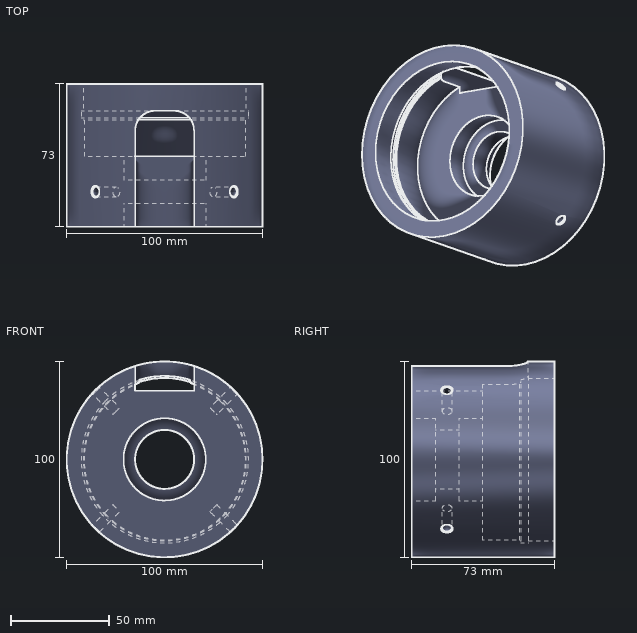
import cadquery as cq

outer_diameter = 100.0
length = 73.0
web_thickness = 36.0
cavity_diameter = 82.2

seat_diameter = 83.0
seat_start = 54.8

groove_diameter = 85.2
groove_start = 55.8
groove_width = 3.6

bore_diameter = 30.0
counterbore_diameter = 42.0
counterbore_depth = 12.0

window_width = 30.0
window_length = 59.2
window_floor = 35.1
window_corner_radius = 10.0

screw_hole_diameter = 5.0
screw_hole_mouth_diameter = 6.0
screw_hole_depth = 15.0
screw_hole_position = web_thickness / 2
screw_hole_angles = (45.0, 135.0, 225.0, 315.0)


def disc(diameter, start, end):
    """Cylinder on the Y axis between two Y positions."""
    plane = cq.Workplane("XZ", origin=(0, start, 0))
    return plane.circle(diameter / 2).extrude(start - end)


def window():
    """Slot tool with rounded rear corners and a flat floor."""
    height = outer_diameter / 2 - window_floor
    block = cq.Workplane("XY").box(
        window_width, window_length, height, centered=(True, False, False)
    )
    rounded = block.edges("|Z and >Y").fillet(window_corner_radius)
    return rounded.translate((0, 0, window_floor))


def screw_hole(angle):
    """Blind radial hole with a countersunk mouth."""
    outer_radius = outer_diameter / 2
    bottom_radius = outer_radius - screw_hole_depth
    hole_radius = screw_hole_diameter / 2
    mouth_radius = screw_hole_mouth_diameter / 2
    chamfer = mouth_radius - hole_radius
    profile = (
        cq.Workplane("XZ")
        .moveTo(0, bottom_radius)
        .lineTo(hole_radius, bottom_radius)
        .lineTo(hole_radius, outer_radius - chamfer)
        .lineTo(mouth_radius, outer_radius)
        .lineTo(0, outer_radius)
        .close()
    )
    tool = profile.revolve(360, (0, 0, 0), (0, 1, 0))
    return tool.rotate((0, 0, 0), (0, 1, 0), angle).translate((0, screw_hole_position, 0))


result = disc(outer_diameter, 0, length)
result = result.cut(disc(cavity_diameter, web_thickness, length))
result = result.cut(disc(seat_diameter, seat_start, length))
result = result.cut(disc(groove_diameter, groove_start, groove_start + groove_width))
result = result.cut(disc(bore_diameter, 0, web_thickness))
result = result.cut(disc(counterbore_diameter, 0, counterbore_depth))
result = result.cut(disc(counterbore_diameter, web_thickness - counterbore_depth, web_thickness))
result = result.cut(window())
for hole_angle in screw_hole_angles:
    result = result.cut(screw_hole(hole_angle))